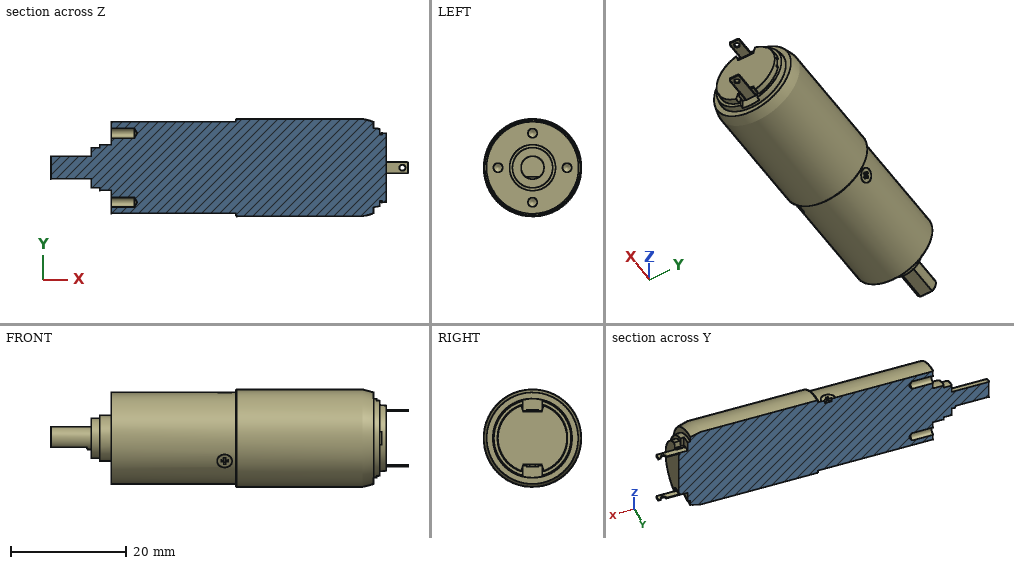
import cadquery as cq
import math


shaft_radius = 2.0
shaft_length = 7.0
shaft_flat_height = 1.6
shaft_flat_length = 6.2
shaft_flat_runout = 0.25

collar_radius = 3.5
collar_length = 1.5
spigot_radius = 4.0
spigot_length = 2.0

gearbox_radius = 8.0
gearbox_length = 21.6

mount_hole_radius = 0.8
mount_circle_radius = 6.0
mount_hole_depth = 4.0
mount_hole_count = 4
drill_point_angle = 118.0

screw_count = 3
screw_x = 19.7
screw_head_radius = 1.3
screw_head_height = 7.95
screw_cross_length = 1.25
screw_cross_width = 0.35
screw_cross_depth = 0.6

motor_radius = 8.5
motor_length = 24.0
motor_front_chamfer = 0.2
motor_rear_length = 1.95
motor_rear_end_radius = 7.95
motor_rear_round = 8.0

ring_base_radius = 6.9
ring_end_radius = 6.7
ring_round = 3.5
ring_length = 1.1
disc_radius = 6.1
disc_length = 1.1
disc_end_radius = 6.0
disc_round = 5.0

slot_width = 3.4
slot_setback = 0.6
slot_floor_height = 4.75
slot_mouth_half_angle = 19.0
slot_lip_length = 0.15
slot_lip_drop = 0.2

notch_width = 2.2
notch_length = 0.35
notch_depth = 0.3

terminal_width = 2.0
terminal_thickness = 0.3
terminal_height = 4.8
terminal_overhang = 3.8
terminal_corner_radius = 0.25
terminal_hole_radius = 0.5
terminal_hole_setback = 1.0

collar_start = -spigot_length - collar_length
shaft_tip = collar_start - shaft_length
motor_end = gearbox_length + motor_length
ring_end = motor_end + ring_length
disc_end = ring_end + disc_length
slot_start = ring_end - slot_setback
terminal_end = disc_end + terminal_overhang


def make_body():
    """Revolve the stepped half profile about the X axis."""
    rear_start = motor_end - motor_rear_length
    profile = (
        cq.Workplane("XY")
        .moveTo(shaft_tip, 0)
        .lineTo(shaft_tip, shaft_radius)
        .lineTo(collar_start, shaft_radius)
        .lineTo(collar_start, collar_radius)
        .lineTo(-spigot_length, collar_radius)
        .lineTo(-spigot_length, spigot_radius)
        .lineTo(0, spigot_radius)
        .lineTo(0, gearbox_radius)
        .lineTo(gearbox_length, gearbox_radius)
        .lineTo(gearbox_length, motor_radius - motor_front_chamfer)
        .lineTo(gearbox_length + motor_front_chamfer, motor_radius)
        .lineTo(rear_start, motor_radius)
        .radiusArc((motor_end, motor_rear_end_radius), motor_rear_round)
        .lineTo(motor_end, ring_base_radius)
        .radiusArc((ring_end, ring_end_radius), ring_round)
        .lineTo(ring_end, disc_radius)
        .radiusArc((disc_end, disc_end_radius), disc_round)
        .lineTo(disc_end, 0)
        .close()
    )
    return profile.revolve(360, (0, 0, 0), (1, 0, 0))


def make_shaft_flat_cutter():
    """Block below the shaft that leaves the D flat with a sloped runout."""
    flat_end = shaft_tip + shaft_flat_length
    profile = (
        cq.Workplane("XZ")
        .moveTo(shaft_tip, -shaft_flat_height)
        .lineTo(flat_end, -shaft_flat_height)
        .lineTo(flat_end + shaft_flat_runout, -shaft_radius)
        .lineTo(shaft_tip, -shaft_radius)
        .close()
    )
    return profile.extrude(shaft_radius, both=True)


def make_mount_hole():
    """Blind hole with a conical bottom, at the top of the hole circle."""
    point_depth = mount_hole_radius / math.tan(math.radians(drill_point_angle / 2))
    profile = (
        cq.Workplane("XY")
        .lineTo(0, mount_hole_radius)
        .lineTo(mount_hole_depth, mount_hole_radius)
        .lineTo(mount_hole_depth + point_depth, 0)
        .close()
    )
    hole = profile.revolve(360, (0, 0, 0), (1, 0, 0))
    return hole.translate((0, 0, mount_circle_radius))


def around_axis(shape, angle):
    """Turn a shape built at the top (+Z) about the X axis."""
    return shape.rotate((0, 0, 0), (1, 0, 0), angle)


def add_screw(body, angle):
    """Flat screw head with a cross recess, let into the gearbox wall."""
    head = (
        cq.Workplane("XY")
        .center(screw_x, 0)
        .circle(screw_head_radius)
        .extrude(screw_head_height)
    )
    head_clearance = (
        cq.Workplane("XY", origin=(screw_x, 0, screw_head_height))
        .circle(screw_head_radius)
        .extrude(motor_radius - screw_head_height)
    )
    cross_plane = cq.Workplane("XY", origin=(screw_x, 0, screw_head_height))
    arm_along = cross_plane.rect(screw_cross_length, screw_cross_width).extrude(-screw_cross_depth)
    arm_across = cross_plane.rect(screw_cross_width, screw_cross_length).extrude(-screw_cross_depth)
    recess = head_clearance.union(arm_along).union(arm_across)
    return body.union(around_axis(head, angle)).cut(around_axis(recess, angle))


def make_terminal_slot():
    """Straight slot in the ring, a mouth with radial walls in the disc and a lowered lip at its end."""
    ring_slot = cq.Workplane("XY").box(
        ring_end - slot_start, slot_width, motor_radius, centered=(False, True, False)
    ).translate((slot_start, 0, slot_floor_height))
    flare = math.tan(math.radians(slot_mouth_half_angle))
    floor_half_width = slot_floor_height * flare
    outer_half_width = motor_radius * flare
    mouth = (
        cq.Workplane("YZ", origin=(ring_end, 0, 0))
        .moveTo(-floor_half_width, slot_floor_height)
        .lineTo(-outer_half_width, motor_radius)
        .lineTo(outer_half_width, motor_radius)
        .lineTo(floor_half_width, slot_floor_height)
        .close()
        .extrude(disc_length)
    )
    lip = cq.Workplane("XY").box(
        slot_lip_length, 2 * floor_half_width, slot_lip_drop, centered=(False, True, False)
    ).translate((disc_end - slot_lip_length, 0, slot_floor_height - slot_lip_drop))
    return ring_slot.union(mouth).union(lip)


def make_terminal():
    """Flat tab with rounded free corners and a wire hole."""
    length = terminal_end - slot_start
    tab = (
        cq.Workplane("XY")
        .box(length, terminal_width, terminal_thickness, centered=(False, True, True))
        .edges("|Z and >X")
        .fillet(terminal_corner_radius)
        .translate((slot_start, 0, terminal_height))
    )
    hole = (
        cq.Workplane("XY")
        .center(terminal_end - terminal_hole_setback, 0)
        .circle(terminal_hole_radius)
        .extrude(motor_radius)
    )
    return tab.cut(hole)


def make_side_notch():
    """Shallow notch in the disc beside the ring, built at the top."""
    return cq.Workplane("XY").box(
        notch_length, notch_width, motor_radius, centered=(False, True, False)
    ).translate((ring_end, 0, disc_radius - notch_depth))


result = make_body().cut(make_shaft_flat_cutter())

for index in range(mount_hole_count):
    result = result.cut(around_axis(make_mount_hole(), index * 360 / mount_hole_count))

for index in range(screw_count):
    result = add_screw(result, index * 360 / screw_count)

for angle in (0, 180):
    result = result.cut(around_axis(make_terminal_slot(), angle))
    result = result.union(around_axis(make_terminal(), angle))
    result = result.cut(around_axis(make_side_notch(), angle + 90))